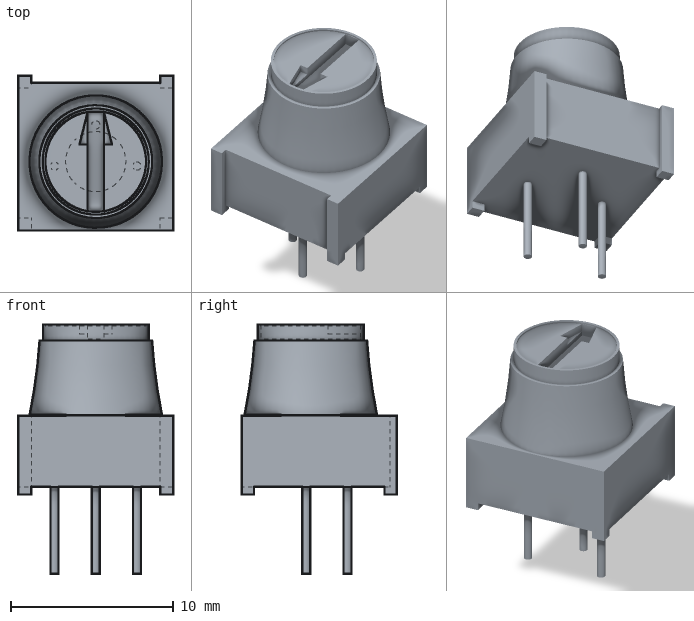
import cadquery as cq

HOUSING_SIDE = 9.55
FOOT_BOTTOM_Z = 4.89
FOOT_HEIGHT = 0.48
HOUSING_TOP_Z = 9.75
FOOT_LENGTH_X = 0.81
FOOT_LENGTH_Y = 0.77
BACK_NOTCH_DEPTH = 0.43

PIN_DIAMETER = 0.5
PIN_PITCH = 2.54
OUTER_PIN_Y = -0.8

KNOB_Y = -0.52
SHAFT_DIAMETER = 3.7
KNOB_GAP = 0.05
SKIRT_BOTTOM_DIAMETER = 8.16
SKIRT_TOP_DIAMETER = 6.95
SKIRT_HOLLOW = 0.08
RIM_DIAMETER = 6.53
RIM_HEIGHT = 1.0
KNOB_TOP_Z = 15.37

FACE_DIAMETER = 6.2
FACE_DEPTH = 0.1
SLOT_WIDTH = 1.0
SLOT_LENGTH = 6.12
SLOT_DEPTH = 0.8
ARROW_WIDTH = 2.0
ARROW_LENGTH = 2.0
ARROW_DEPTH = 0.5

FLOOR_Z = FOOT_BOTTOM_Z + FOOT_HEIGHT
SKIRT_BOTTOM_Z = HOUSING_TOP_Z + KNOB_GAP
SKIRT_TOP_Z = KNOB_TOP_Z - RIM_HEIGHT
FACE_Z = KNOB_TOP_Z - FACE_DEPTH


def block(size_x, size_y, bottom_z, top_z):
    """Box centred on the Z axis between two heights."""
    return (
        cq.Workplane("XY", origin=(0, 0, bottom_z))
        .rect(size_x, size_y)
        .extrude(top_z - bottom_z)
    )


def make_housing():
    """Square block on four corner feet, with its three fixed terminal pins."""
    width_between_feet = HOUSING_SIDE - 2 * FOOT_LENGTH_X
    depth_between_feet = HOUSING_SIDE - 2 * FOOT_LENGTH_Y
    body = block(HOUSING_SIDE, HOUSING_SIDE, FOOT_BOTTOM_Z, HOUSING_TOP_Z)

    body = body.cut(block(width_between_feet, HOUSING_SIDE, FOOT_BOTTOM_Z, FLOOR_Z))
    body = body.cut(block(HOUSING_SIDE, depth_between_feet, FOOT_BOTTOM_Z, FLOOR_Z))

    back_notch = block(width_between_feet, 2 * BACK_NOTCH_DEPTH, FOOT_BOTTOM_Z, HOUSING_TOP_Z)
    body = body.cut(back_notch.translate((0, HOUSING_SIDE / 2, 0)))

    pin_positions = [
        (-PIN_PITCH, OUTER_PIN_Y),
        (0, OUTER_PIN_Y + PIN_PITCH),
        (PIN_PITCH, OUTER_PIN_Y),
    ]
    for position in pin_positions:
        pin = cq.Workplane("XY").center(*position).circle(PIN_DIAMETER / 2).extrude(FLOOR_Z)
        body = body.union(pin)
    return body


def make_knob_blank():
    """Short shaft, flared, slightly hollow skirt and straight rim as one turned solid."""
    skirt_mid_radius = (SKIRT_BOTTOM_DIAMETER + SKIRT_TOP_DIAMETER) / 4 - SKIRT_HOLLOW
    skirt_mid_z = (SKIRT_BOTTOM_Z + SKIRT_TOP_Z) / 2
    return (
        cq.Workplane("XZ")
        .moveTo(0, HOUSING_TOP_Z)
        .lineTo(SHAFT_DIAMETER / 2, HOUSING_TOP_Z)
        .lineTo(SHAFT_DIAMETER / 2, SKIRT_BOTTOM_Z)
        .lineTo(SKIRT_BOTTOM_DIAMETER / 2, SKIRT_BOTTOM_Z)
        .threePointArc((skirt_mid_radius, skirt_mid_z), (SKIRT_TOP_DIAMETER / 2, SKIRT_TOP_Z))
        .lineTo(RIM_DIAMETER / 2, SKIRT_TOP_Z)
        .lineTo(RIM_DIAMETER / 2, KNOB_TOP_Z)
        .lineTo(0, KNOB_TOP_Z)
        .close()
        .revolve(360, (0, 0, 0), (0, 1, 0))
    )


def make_knob():
    """Knob with a sunken face, a screwdriver slot and a shallower arrowhead."""
    face_recess = (
        cq.Workplane("XY", origin=(0, 0, FACE_Z))
        .circle(FACE_DIAMETER / 2)
        .extrude(FACE_DEPTH)
    )
    slot = block(SLOT_WIDTH, SLOT_LENGTH, FACE_Z - SLOT_DEPTH, FACE_Z)

    tip_y = SLOT_LENGTH / 2
    base_y = tip_y - ARROW_LENGTH
    arrowhead = (
        cq.Workplane("XY", origin=(0, 0, FACE_Z - ARROW_DEPTH))
        .polyline([
            (-ARROW_WIDTH / 2, base_y),
            (ARROW_WIDTH / 2, base_y),
            (SLOT_WIDTH / 2, tip_y),
            (-SLOT_WIDTH / 2, tip_y),
        ])
        .close()
        .extrude(ARROW_DEPTH)
    )
    knob = make_knob_blank().cut(face_recess).cut(slot).cut(arrowhead)
    return knob.translate((0, KNOB_Y, 0))


housing = make_housing()
knob = make_knob()

result = cq.Compound.makeCompound([housing.val(), knob.val()])